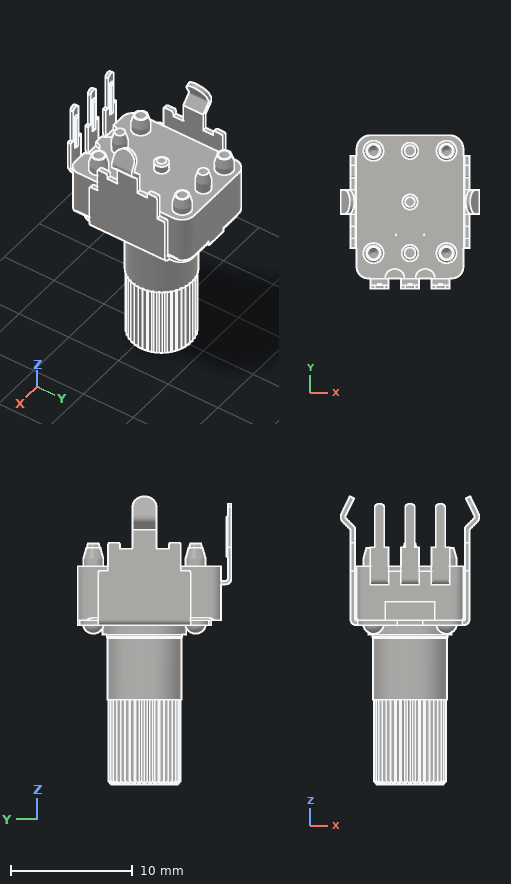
import cadquery as cq
import math


sheet = 0.4
plate_half_x = 4.3
plate_half_y = 5.3
plate_corner_radius = 1.2
plate_tab_half_x = 1.04
plate_tab_end_y = 5.5

clip_outer_x = 4.9
clip_inner_x = clip_outer_x - sheet
clip_half_y = 3.8
clip_shoulder_z = 4.5
clip_upper_half_y = 3.0
clip_upper_top_z = 6.8
clip_notch_half_y = 2.0
clip_notch_z = 6.3
clip_corner_radius = 0.2
clip_bend_inner_radius = 0.1
tongue_half_y = 1.0
tongue_kink_z = 8.03
tongue_crest_x = 5.7
tongue_crest_radius = 0.6
tongue_top_z = 10.6
tongue_lean = math.radians(26)

body_half_x = 4.4
body_front_y = -6.3
body_back_y = 5.5
body_bottom_z = sheet
body_top_z = 4.86
body_front_radius = 1.0
body_back_radius = 1.2
body_relief_x = 0.1
body_relief_z = 0.2
window_half_x = 2.05
window_top_z = 1.93
window_depth = 1.4
scallop_radius = 0.8
scallop_depth = 0.44

post_x = 3.0
post_y = 4.2
hollow_post_radius = 0.83
hollow_post_shoulder_z = 5.5
hollow_post_tip_radius = 0.59
hollow_post_top_z = 6.36
hollow_post_hole_radius = 0.5
hollow_post_hole_depth = 0.6
solid_post_radius = 0.68
solid_post_shoulder_z = 5.88
solid_post_tip_radius = 0.45
solid_post_top_z = 6.73
centre_post_radius = 0.63
centre_post_top_z = 5.75
centre_post_chamfer_z = 0.15
centre_post_chamfer_r = 0.24
rivet_radius = 0.85
rivet_height = 0.7

pin_pitch = 2.5
pin_thickness = 0.3
pin_outer_y = -7.15
pin_inner_y = pin_outer_y + pin_thickness
pin_bottom_z = 3.35
pin_bend_inner_radius = 0.2
pin_base_width = 1.5
pin_base_top_z = 6.43
pin_tine_width = 0.8
pin_top_z = 10.0
pin_tip_rise = 0.27
pin_rib_width = 0.3
pin_rib_height = 0.15
pin_rib_bottom_z = 5.54
pin_rib_top_z = 9.0

bushing_radius = 3.45
bushing_end_z = -0.77
collar_radius = 3.1
collar_rim_z = -0.95
collar_end_z = -1.07
shaft_radius = 3.05
knurl_start_z = -6.1
knurl_radius = 3.0
shaft_end_z = -13.1
shaft_end_chamfer = 0.3
groove_count = 40
groove_depth = 0.26


def box(x0, x1, y0, y1, z0, z1):
    return cq.Workplane("XY").box(x1 - x0, y1 - y0, z1 - z0, centered=False).translate((x0, y0, z0))


def make_plate():
    plate = box(-plate_half_x, plate_half_x, -plate_half_y, plate_half_y, 0, sheet)
    plate = plate.edges("|Z").fillet(plate_corner_radius)
    tabs = box(-plate_tab_half_x, plate_tab_half_x, -plate_tab_end_y, plate_tab_end_y, 0, sheet)
    return plate.union(tabs)


def make_side_panel():
    """Clip on +X: foot from the plate, bend, and upright panel with shoulders beside the tongue."""
    panel = box(clip_inner_x, clip_outer_x, -clip_half_y, clip_half_y, 0, clip_shoulder_z)
    panel = panel.edges("|X and >Z").fillet(clip_corner_radius)
    foot = box(0, clip_inner_x, -clip_half_y, clip_half_y, 0, sheet)
    panel = panel.union(foot)
    panel = panel.edges("|Y and >X and <Z").fillet(sheet + clip_bend_inner_radius)
    inner_bend = cq.selectors.NearestToPointSelector((clip_inner_x, 0, sheet))
    panel = panel.edges(inner_bend).fillet(clip_bend_inner_radius)

    upper_start_z = clip_shoulder_z - 2 * clip_corner_radius
    upper = box(
        clip_inner_x,
        clip_outer_x,
        -clip_upper_half_y,
        clip_upper_half_y,
        upper_start_z,
        clip_upper_top_z,
    )
    notch = box(
        clip_inner_x, clip_outer_x, -clip_notch_half_y, clip_notch_half_y, clip_notch_z, clip_upper_top_z
    )
    upper = upper.cut(notch)
    upper = upper.edges("|X and >Z").fillet(clip_corner_radius)
    return panel.union(upper)


def make_tongue():
    """Spring tongue on +X: out at 45 degrees to a rounded crest, then back in to a round tip."""
    inner_radius = tongue_crest_radius - sheet
    crest_centre_x = tongue_crest_x - tongue_crest_radius
    crest_centre_z = tongue_kink_z + crest_centre_x - clip_inner_x + inner_radius * math.sqrt(2)
    kink_outer_z = tongue_kink_z - sheet * math.tan(math.pi / 8)

    def crest_point(radius, angle):
        return (crest_centre_x + radius * math.cos(angle), crest_centre_z + radius * math.sin(angle))

    ramp_angle = -math.pi / 4
    outer_start = crest_point(tongue_crest_radius, ramp_angle)
    outer_middle = crest_point(tongue_crest_radius, 0)
    outer_end = crest_point(tongue_crest_radius, tongue_lean)
    inner_start = crest_point(inner_radius, ramp_angle)
    inner_middle = crest_point(inner_radius, 0)
    inner_end = crest_point(inner_radius, tongue_lean)

    leg_length = (tongue_top_z - outer_end[1]) / math.cos(tongue_lean)
    straight = leg_length - tongue_half_y
    step_x = -straight * math.sin(tongue_lean)
    step_z = straight * math.cos(tongue_lean)
    tip_inner = (inner_end[0] + step_x, inner_end[1] + step_z)
    tip_outer = (outer_end[0] + step_x, outer_end[1] + step_z)

    strip = (
        cq.Workplane("XZ")
        .moveTo(clip_inner_x, clip_notch_z)
        .lineTo(clip_inner_x, tongue_kink_z)
        .lineTo(*inner_start)
        .threePointArc(inner_middle, inner_end)
        .lineTo(*tip_inner)
        .lineTo(*tip_outer)
        .lineTo(*outer_end)
        .threePointArc(outer_middle, outer_start)
        .lineTo(clip_outer_x, kink_outer_z)
        .lineTo(clip_outer_x, clip_notch_z)
        .close()
        .extrude(tongue_half_y, both=True)
    )
    tip_plane = cq.Plane(
        origin=(tip_inner[0], 0, tip_inner[1]),
        xDir=(0, 1, 0),
        normal=(math.cos(tongue_lean), 0, math.sin(tongue_lean)),
    )
    tip = (
        cq.Workplane(tip_plane)
        .moveTo(-tongue_half_y, 0)
        .threePointArc((0, tongue_half_y), (tongue_half_y, 0))
        .close()
        .extrude(sheet)
    )
    return strip.union(tip)


def make_body():
    body = box(-body_half_x, body_half_x, body_front_y, body_back_y, body_bottom_z, body_top_z)
    body = body.edges("|Z and <Y").fillet(body_front_radius)
    body = body.edges("|Z and >Y").fillet(body_back_radius)

    relief = (
        cq.Workplane("XZ")
        .moveTo(body_half_x, body_bottom_z)
        .lineTo(body_half_x, body_bottom_z + body_relief_z)
        .lineTo(body_half_x - body_relief_x, body_bottom_z)
        .close()
        .extrude(2 * body_back_y, both=True)
    )
    body = body.cut(relief).cut(relief.mirror("YZ"))

    window_back_y = body_front_y + window_depth
    body = body.cut(
        box(-window_half_x, window_half_x, body_front_y, window_back_y, body_bottom_z, window_top_z)
    )

    for side in (-1, 1):
        scallop = (
            cq.Workplane("XY", origin=(side * pin_pitch / 2, body_front_y, body_top_z))
            .circle(scallop_radius)
            .extrude(-scallop_depth)
        )
        body = body.cut(scallop)
    return body


def make_tapered_post(radius, shoulder_z, tip_radius, top_z):
    """Round post that tapers to its tip above the shoulder."""
    return (
        cq.Workplane("XZ")
        .moveTo(0, body_bottom_z)
        .lineTo(radius, body_bottom_z)
        .lineTo(radius, shoulder_z)
        .lineTo(tip_radius, top_z)
        .lineTo(0, top_z)
        .close()
        .revolve(360, (0, 0, 0), (0, 1, 0))
    )


def make_hollow_post():
    post = make_tapered_post(
        hollow_post_radius, hollow_post_shoulder_z, hollow_post_tip_radius, hollow_post_top_z
    )
    hole = cq.Solid.makeCone(
        0,
        hollow_post_hole_radius,
        hollow_post_hole_depth,
        pnt=cq.Vector(0, 0, hollow_post_top_z - hollow_post_hole_depth),
    )
    return post.cut(cq.Workplane(hole))


def make_centre_post():
    return (
        cq.Workplane("XZ")
        .moveTo(0, body_bottom_z)
        .lineTo(centre_post_radius, body_bottom_z)
        .lineTo(centre_post_radius, centre_post_top_z - centre_post_chamfer_z)
        .lineTo(centre_post_radius - centre_post_chamfer_r, centre_post_top_z)
        .lineTo(0, centre_post_top_z)
        .close()
        .revolve(360, (0, 0, 0), (0, 1, 0))
    )


def make_rivet():
    """Domed head that reaches rivet_height below the plate."""
    sphere_radius = (rivet_radius**2 + rivet_height**2) / (2 * rivet_height)
    dome = cq.Workplane("XY").sphere(sphere_radius).translate((0, 0, sphere_radius - rivet_height))
    below_plate = box(-rivet_radius, rivet_radius, -rivet_radius, rivet_radius, -rivet_height, 0)
    return dome.intersect(below_plate)


def make_pin():
    """L-shaped terminal: foot from the body, bend, wide base, narrow tine and a rib behind the tine."""
    foot_top_z = pin_bottom_z + pin_thickness
    bend_outer_radius = pin_bend_inner_radius + pin_thickness
    base = (
        cq.Workplane("YZ")
        .moveTo(body_front_y, pin_bottom_z)
        .lineTo(pin_outer_y + bend_outer_radius, pin_bottom_z)
        .radiusArc((pin_outer_y, pin_bottom_z + bend_outer_radius), bend_outer_radius)
        .lineTo(pin_outer_y, pin_base_top_z)
        .lineTo(pin_inner_y, pin_base_top_z)
        .lineTo(pin_inner_y, pin_bottom_z + bend_outer_radius)
        .radiusArc((pin_inner_y + pin_bend_inner_radius, foot_top_z), -pin_bend_inner_radius)
        .lineTo(body_front_y, foot_top_z)
        .close()
        .extrude(pin_base_width / 2, both=True)
    )
    half_tine = pin_tine_width / 2
    tine_side_top_z = pin_top_z - pin_tip_rise
    tine = (
        cq.Workplane("XZ", origin=(0, pin_inner_y, 0))
        .moveTo(-half_tine, pin_base_top_z)
        .lineTo(-half_tine, tine_side_top_z)
        .threePointArc((0, pin_top_z), (half_tine, tine_side_top_z))
        .lineTo(half_tine, pin_base_top_z)
        .close()
        .extrude(pin_thickness)
    )
    rib = (
        cq.Workplane("YZ")
        .moveTo(pin_inner_y, pin_rib_bottom_z)
        .lineTo(pin_inner_y + pin_rib_height, pin_rib_bottom_z + pin_rib_height)
        .lineTo(pin_inner_y + pin_rib_height, pin_rib_top_z - pin_rib_height)
        .lineTo(pin_inner_y, pin_rib_top_z)
        .close()
        .extrude(pin_rib_width / 2, both=True)
    )
    return base.union(tine).union(rib)


def make_shaft():
    """Bushing, collar and smooth shaft down to the knurl."""
    return (
        cq.Workplane("XZ")
        .moveTo(0, sheet)
        .lineTo(bushing_radius, sheet)
        .lineTo(bushing_radius, bushing_end_z)
        .lineTo(collar_radius, bushing_end_z)
        .lineTo(collar_radius, collar_rim_z)
        .lineTo(shaft_radius, collar_end_z)
        .lineTo(shaft_radius, knurl_start_z)
        .lineTo(0, knurl_start_z)
        .close()
        .revolve(360, (0, 0, 0), (0, 1, 0))
    )


def make_knurl():
    """Toothed shaft end with V grooves side by side and a chamfered tip."""
    half_pitch = math.pi / groove_count
    outline = []
    for index in range(groove_count):
        root_angle = 2 * index * half_pitch
        crest_angle = root_angle + half_pitch
        root_radius = knurl_radius - groove_depth
        outline.append((root_radius * math.cos(root_angle), root_radius * math.sin(root_angle)))
        outline.append((knurl_radius * math.cos(crest_angle), knurl_radius * math.sin(crest_angle)))
    length = knurl_start_z - shaft_end_z
    teeth = cq.Workplane("XY", origin=(0, 0, shaft_end_z)).polyline(outline).close().extrude(length)
    envelope = cq.Workplane("XY", origin=(0, 0, shaft_end_z)).circle(knurl_radius).extrude(length)
    envelope = envelope.faces("<Z").chamfer(shaft_end_chamfer)
    return teeth.intersect(envelope)


result = make_plate().union(make_body()).union(make_shaft()).union(make_knurl())

clip = make_side_panel().union(make_tongue())
result = result.union(clip).union(clip.mirror("YZ"))

hollow_post = make_hollow_post()
solid_post = make_tapered_post(
    solid_post_radius, solid_post_shoulder_z, solid_post_tip_radius, solid_post_top_z
)
rivet = make_rivet()
for y in (-post_y, post_y):
    result = result.union(solid_post.translate((0, y, 0)))
    for x in (-post_x, post_x):
        result = result.union(hollow_post.translate((x, y, 0)))
        result = result.union(rivet.translate((x, y, 0)))
result = result.union(make_centre_post())

pin = make_pin()
for index in (-1, 0, 1):
    result = result.union(pin.translate((index * pin_pitch, 0, 0)))